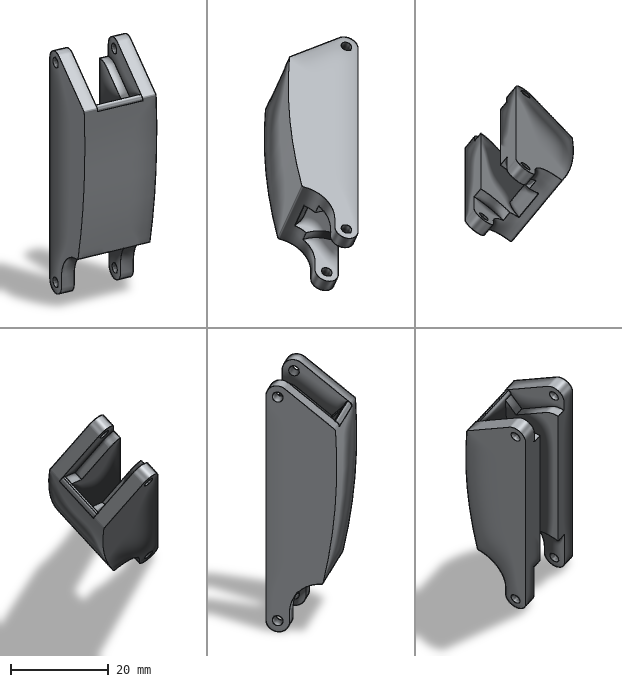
import cadquery as cq
import math

LENGTH = 55.0
DEPTH = 14.95
WIDTH = 16.8

LUG_RADIUS = 2.505
HOLE_DIAMETER = 2.2
UPPER_PIVOT_Z = LENGTH - LUG_RADIUS
LOWER_PIVOT_Z = LUG_RADIUS

SLOPE_ANGLE = math.radians(37.0)
FRONT_CORNER_X = 14.7
FRONT_CREST_Z = 38.1
NOTCH_RADIUS = 7.0
NOTCH_CENTER_X = 2 * LUG_RADIUS + NOTCH_RADIUS
NOTCH_CENTER_Z = 4.6
CORNER_RADIUS = 0.55

CENTER_GAP = 6.45
UPPER_GAP = 10.5
LOWER_GAP = 10.8

RIM_START = (13.2, 46.1)
RIM_CREST = (13.8, 47.0)
RIM_FRONT_Z = 45.9
RIM_RADIUS = 1.2
WEB_MIDDLE = (11.75, 32.3)
NOSE_START = (8.0, 19.0)
NOSE_TIP = (7.65, 16.6)
NOSE_END = (9.95, 11.6)

PAD_TOP_Z = 49.75
PAD_FLAT_LENGTH = 0.7
PAD_ROUND_RADIUS = 3.85
PAD_SLOPE_END_X = 10.5
LOWER_CLEARANCE_RADIUS = 9.1

MARGIN = 2.75
DIAGONAL = math.sqrt(0.5)


def point_down_slope(start, x):
    """Point at x on the line that falls from start at the slope angle."""
    return (x, start[1] - (x - start[0]) * math.tan(SLOPE_ANGLE))


def round_over_point(start, radius, angle):
    """Point on an arc that leaves start level and has turned down by angle."""
    return (start[0] + radius * math.sin(angle), start[1] - radius * (1 - math.cos(angle)))


def extrude_across(outline, width):
    """Extrude an XZ outline to the given width, centred on Y = 0."""
    return outline.extrude(width / 2, both=True)


LUG_TOP = (LUG_RADIUS, LENGTH)
SLOPE_START = round_over_point(LUG_TOP, LUG_RADIUS, SLOPE_ANGLE)


def make_body():
    """Full-width block with the side outline of the link."""
    notch_top = (NOTCH_CENTER_X, NOTCH_CENTER_Z + NOTCH_RADIUS)
    notch_middle = (
        NOTCH_CENTER_X - NOTCH_RADIUS * DIAGONAL,
        NOTCH_CENTER_Z + NOTCH_RADIUS * DIAGONAL,
    )
    lug_top_middle = (
        LUG_RADIUS * (1 - DIAGONAL),
        UPPER_PIVOT_Z + LUG_RADIUS * DIAGONAL,
    )
    outline = (
        cq.Workplane("XZ")
        .moveTo(0, LOWER_PIVOT_Z)
        .lineTo(0, UPPER_PIVOT_Z)
        .threePointArc(lug_top_middle, LUG_TOP)
        .threePointArc(round_over_point(LUG_TOP, LUG_RADIUS, SLOPE_ANGLE / 2), SLOPE_START)
        .lineTo(*point_down_slope(SLOPE_START, FRONT_CORNER_X))
        .threePointArc((DEPTH, FRONT_CREST_Z), notch_top)
        .threePointArc(notch_middle, (2 * LUG_RADIUS, NOTCH_CENTER_Z))
        .lineTo(2 * LUG_RADIUS, LOWER_PIVOT_Z)
        .threePointArc((LUG_RADIUS, 0), (0, LOWER_PIVOT_Z))
        .close()
    )
    front_corners = cq.selectors.BoxSelector(
        (NOTCH_CENTER_X - CORNER_RADIUS, -WIDTH, 0),
        (DEPTH + CORNER_RADIUS, WIDTH, LENGTH),
    )
    body = extrude_across(outline, WIDTH)
    return body.edges("|Y").edges(front_corners).fillet(CORNER_RADIUS)


def make_center_cavity():
    """Space between the side plates, bounded in front by the web."""
    outline = (
        cq.Workplane("XZ")
        .moveTo(-MARGIN, LENGTH + MARGIN)
        .lineTo(RIM_START[0], LENGTH + MARGIN)
        .lineTo(*RIM_START)
        .threePointArc(WEB_MIDDLE, NOSE_START)
        .threePointArc(NOSE_TIP, NOSE_END)
        .lineTo(NOSE_END[0], -MARGIN)
        .lineTo(-MARGIN, -MARGIN)
        .close()
    )
    return extrude_across(outline, CENTER_GAP)


def make_upper_recess():
    """Wider recess between the upper lugs, ending at the rounded rim of the web."""
    flat_end = (PAD_FLAT_LENGTH, PAD_TOP_Z)
    round_middle = round_over_point(flat_end, PAD_ROUND_RADIUS, SLOPE_ANGLE / 2)
    round_end = round_over_point(flat_end, PAD_ROUND_RADIUS, SLOPE_ANGLE)
    rim_front = (FRONT_CORNER_X, RIM_FRONT_Z)
    outline = (
        cq.Workplane("XZ")
        .moveTo(-MARGIN, PAD_TOP_Z)
        .lineTo(*flat_end)
        .threePointArc(round_middle, round_end)
        .lineTo(*point_down_slope(round_end, PAD_SLOPE_END_X))
        .lineTo(*RIM_START)
        .radiusArc(RIM_CREST, RIM_RADIUS)
        .radiusArc(rim_front, RIM_RADIUS)
        .lineTo(DEPTH + MARGIN, RIM_FRONT_Z)
        .lineTo(DEPTH + MARGIN, LENGTH + MARGIN)
        .lineTo(-MARGIN, LENGTH + MARGIN)
        .close()
    )
    return extrude_across(outline, UPPER_GAP)


def make_lower_recess():
    """Round clearance about the lower pivot, between the lower lugs."""
    outline = (
        cq.Workplane("XZ")
        .center(LUG_RADIUS, LOWER_PIVOT_Z)
        .circle(LOWER_CLEARANCE_RADIUS)
    )
    return extrude_across(outline, LOWER_GAP)


def make_pivot_holes():
    """Cylinders that cut the pivot holes through both side plates."""
    pivots = [(LUG_RADIUS, LOWER_PIVOT_Z), (LUG_RADIUS, UPPER_PIVOT_Z)]
    outline = cq.Workplane("XZ").pushPoints(pivots).circle(HOLE_DIAMETER / 2)
    return extrude_across(outline, WIDTH + 2 * MARGIN)


result = (
    make_body()
    .cut(make_center_cavity())
    .cut(make_upper_recess())
    .cut(make_lower_recess())
    .cut(make_pivot_holes())
)